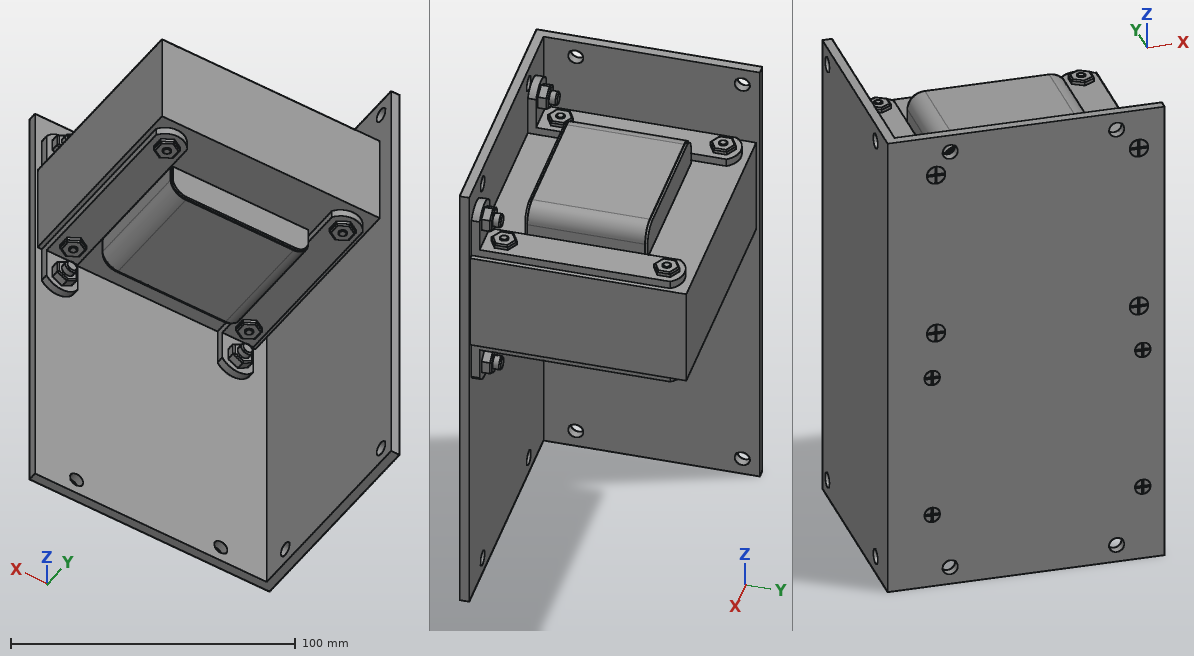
import cadquery as cq
width = 101.5
depth = 82.5
height = 177.8
wall = 3.5

mount_hole_diameter = 5.5
mount_hole_edge = 6.5
front_hole_xs = (23.0, 84.0)
side_hole_ys = (15.3, 76.1)
mount_hole_zs = (mount_hole_edge, height - mount_hole_edge)

core_x_min = 8.4
core_x_max = 100.5
core_thickness = 38.0
core_mid_z = 131.4
core_top_z = core_mid_z + core_thickness / 2

coil_mid_x = 54.5
coil_width = 58.3
coil_height = 63.0
coil_radius = 6.4
coil_y_min = 19.7
coil_y_max = 62.8
bobbin_lip = 0.9
bobbin_inset = 0.5

bracket_width = 13.2
bracket_thickness = 3.0
bracket_end_rise = 3.5
bracket_end_margin = 6.5
bracket_mid_x = 55.0
bracket_pitch_x = 74.3
bracket_xs = (bracket_mid_x - bracket_pitch_x / 2, bracket_mid_x + bracket_pitch_x / 2)
strap_hole_y = 73.0
foot_screw_offset_z = 31.3
foot_screw_z = core_mid_z + foot_screw_offset_z

nut_across_flats = 8.2
nut_chamfer = 0.5
tie_nut_height = 1.8
foot_nut_height = 3.5
tie_bolt_diameter = 3.5
tie_bolt_ys = (13.7, strap_hole_y)
tie_bolt_stick_out = 0.4
foot_screw_diameter = 5.0
foot_screw_stick_out = 2.8
bolt_end_chamfer = 0.5

foot_head_diameter = 6.8
lower_head_diameter = 5.7
head_recess = 0.2
cross_slot_width = 0.7
cross_slot_depth = 1.0
lower_screw_xs = (16.4, 93.5)
lower_screw_zs = (28.3, 82.5)


def box(x_min, x_max, y_min, y_max, z_min, z_max):
    size = (x_max - x_min, y_max - y_min, z_max - z_min)
    return cq.Workplane("XY").box(*size, centered=False).translate((x_min, y_min, z_min))


def angle_plate():
    front_wall = box(0, width, 0, wall, 0, height)
    side_wall = box(0, wall, 0, depth, 0, height)
    plate = front_wall.union(side_wall)
    for z in mount_hole_zs:
        for x in front_hole_xs:
            hole = cq.Workplane("XZ", origin=(x, 0, z)).circle(mount_hole_diameter / 2).extrude(-wall)
            plate = plate.cut(hole)
        for y in side_hole_ys:
            hole = cq.Workplane("YZ", origin=(0, y, z)).circle(mount_hole_diameter / 2).extrude(wall)
            plate = plate.cut(hole)
    return plate


def rounded_bar(bar_width, bar_height, radius, y_min, y_max):
    """Bar along Y, centred on the winding, with its long edges rounded."""
    bar = box(
        coil_mid_x - bar_width / 2, coil_mid_x + bar_width / 2,
        y_min, y_max,
        core_mid_z - bar_height / 2, core_mid_z + bar_height / 2,
    )
    return bar.edges("|Y").fillet(radius)


def transformer():
    core = box(core_x_min, core_x_max, wall, depth, core_mid_z - core_thickness / 2, core_top_z)
    coil = rounded_bar(coil_width, coil_height, coil_radius, coil_y_min, coil_y_max)
    bobbin = rounded_bar(
        coil_width - 2 * bobbin_inset, coil_height - 2 * bobbin_inset, coil_radius - bobbin_inset,
        coil_y_min - bobbin_lip, coil_y_max + bobbin_lip,
    )
    return core.union(coil).union(bobbin)


def nut_on_bolt(nut_height, bolt_diameter, stick_out):
    """Hex nut on z = 0 with two corners along Y and the bolt end above it."""
    nut = cq.Workplane("XY").polygon(6, nut_across_flats, circumscribed=True).extrude(nut_height)
    nut = nut.faces(">Z").chamfer(nut_chamfer)
    bolt = cq.Workplane("XY").circle(bolt_diameter / 2).extrude(nut_height + stick_out)
    return nut.union(bolt.faces(">Z").chamfer(bolt_end_chamfer))


def round_ended_tab(length):
    """Flat tab from y = 0 to y = length, its far end bowed outwards in one arc."""
    half_width = bracket_width / 2
    side_length = length - bracket_end_rise
    return (
        cq.Workplane("XY")
        .moveTo(-half_width, 0)
        .lineTo(half_width, 0)
        .lineTo(half_width, side_length)
        .threePointArc((0, length), (-half_width, side_length))
        .close()
        .extrude(bracket_thickness)
    )


def bracket_with_fasteners():
    """Angle bracket on top of the core at x = 0: strap over the core, foot on the front wall."""
    strap = round_ended_tab(strap_hole_y + bracket_end_margin - wall).translate((0, wall, core_top_z))
    foot = round_ended_tab(foot_screw_z + bracket_end_margin - core_top_z)
    foot = foot.rotate((0, 0, 0), (1, 0, 0), 90).translate((0, wall + bracket_thickness, core_top_z))
    bracket = strap.union(foot)

    for y in tie_bolt_ys:
        tie_bolt = nut_on_bolt(tie_nut_height, tie_bolt_diameter, tie_bolt_stick_out)
        bracket = bracket.union(tie_bolt.translate((0, y, core_top_z + bracket_thickness)))

    foot_screw = nut_on_bolt(foot_nut_height, foot_screw_diameter, foot_screw_stick_out)
    foot_screw = foot_screw.rotate((0, 0, 0), (1, 0, 0), -90)
    return bracket.union(foot_screw.translate((0, wall + bracket_thickness, foot_screw_z)))


def screw_head_cut(x, z, diameter):
    """Material removed from the front face for a sunk head with a cross slot."""
    face = cq.Workplane("XZ", origin=(x, 0, z))
    recess = face.circle(diameter / 2).extrude(-head_recess)
    cross = face.rect(diameter, cross_slot_width).extrude(-cross_slot_depth)
    cross = cross.union(face.rect(cross_slot_width, diameter).extrude(-cross_slot_depth))
    head = face.circle(diameter / 2).extrude(-cross_slot_depth)
    return recess.union(cross.intersect(head))


result = angle_plate().union(transformer())

upper_bracket = bracket_with_fasteners()
lower_bracket = upper_bracket.mirror("XY", (0, 0, core_mid_z))
for x in bracket_xs:
    result = result.union(upper_bracket.translate((x, 0, 0)))
    result = result.union(lower_bracket.translate((x, 0, 0)))

for x in bracket_xs:
    for z in (core_mid_z - foot_screw_offset_z, foot_screw_z):
        result = result.cut(screw_head_cut(x, z, foot_head_diameter))
for x in lower_screw_xs:
    for z in lower_screw_zs:
        result = result.cut(screw_head_cut(x, z, lower_head_diameter))